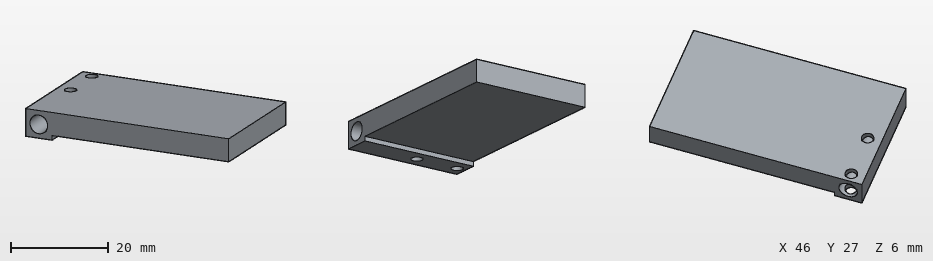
import cadquery as cq

length = 46.05
width = 27.0
barrel_size = 6.0
step_height = 1.0
plate_thickness = barrel_size - step_height

bore_diameter = 4.0
pin_hole_diameter = 2.55
back_hole_margin = 2.0
pin_hole_spacing = 10.0
barrel_center = barrel_size / 2

barrel = cq.Workplane("XY").box(barrel_size, width, barrel_size, centered=False)
plate = (
    cq.Workplane("XY")
    .workplane(offset=step_height)
    .box(length, width, plate_thickness, centered=False)
)
body = barrel.union(plate)

bore = (
    cq.Workplane("XZ")
    .center(barrel_center, barrel_center)
    .circle(bore_diameter / 2)
    .extrude(-width)
)

back_hole_y = width - back_hole_margin
pin_holes = (
    cq.Workplane("XY")
    .pushPoints([
        (barrel_center, back_hole_y),
        (barrel_center, back_hole_y - pin_hole_spacing),
    ])
    .circle(pin_hole_diameter / 2)
    .extrude(barrel_size)
)

result = body.cut(bore).cut(pin_holes)